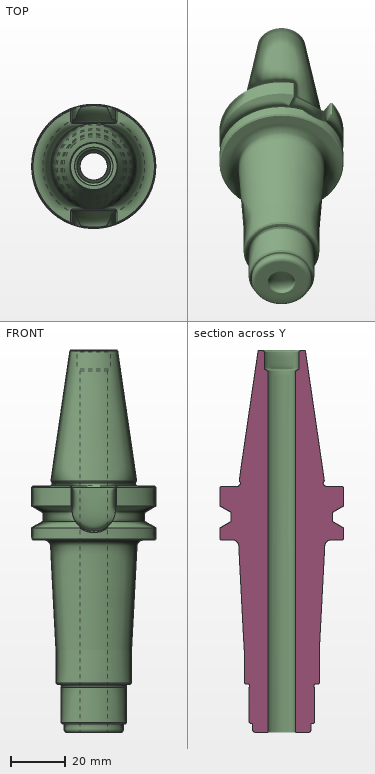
import cadquery as cq
import math


gauge_radius = 31.75 / 2
taper_ratio = 7 / 24
shank_top = 48.4
shank_chamfer = 0.4
shank_top_radius = gauge_radius - shank_top * taper_ratio / 2
shank_chamfer_radius = shank_top_radius + shank_chamfer * taper_ratio / 2

neck_radius = 15.4
neck_top = -0.75
neck_fillet = 1.2

flange_radius = 46 / 2
flange_top = -2.0
flange_bottom = -22.0
flange_chamfer = 0.5
groove_center = -13.4
groove_floor_radius = 37.7 / 2
groove_floor_width = 3.3
groove_flank_angle = 30
groove_fillet = 0.6
groove_flank_height = (flange_radius - groove_floor_radius) * math.tan(math.radians(groove_flank_angle))
groove_floor_top = groove_center + groove_floor_width / 2
groove_floor_bottom = groove_center - groove_floor_width / 2
groove_top = groove_floor_top + groove_flank_height
groove_bottom = groove_floor_bottom - groove_flank_height

slot_width = 16.1
slot_floor_offset = 16.3
slot_bottom = -18.7
slot_floor_fillet = 0.5
slot_edge_chamfer = 0.5

body_radius = 28 / 2
body_cone_bottom = -62.8
body_bottom = -75.4
body_chamfer = 0.5
body_cone_angle = 3
body_fillet = 2.2

nose_radius = 24.35 / 2
nose_bottom = -90.0
nose_groove_radius = 24 / 2
nose_groove_bottom = -76.5
nose_groove_height = 0.4
nose_chamfer = 0.5
pilot_radius = 22 / 2
part_bottom = -93.3
pilot_fillet = 1.3

bore_radius = 10.11 / 2
counterbore_radius = 12.5 / 2
counterbore_depth = 7.0
mouth_radius = 14.2 / 2
mouth_depth = 0.8
seat_depth = 0.7

tolerance = 0.01


def groove_upper_corner(body):
    """The circle where the V-groove floor meets its upper flank."""
    circles = body.edges("%CIRCLE").vals()
    return [
        circle
        for circle in circles
        if abs(circle.radius() - groove_floor_radius) < tolerance
        and abs(circle.Center().z - groove_floor_top) < tolerance
    ]


def outer_body():
    """Revolve the outside profile, from the shank end down to the pilot."""
    diagonal = math.sqrt(0.5)
    cone_angle = math.radians(body_cone_angle)
    arc_end = flange_bottom - body_fillet * (1 + math.sin(cone_angle))
    cone_top_radius = body_radius + (arc_end - body_cone_bottom) * math.tan(cone_angle)
    arc_center_radius = cone_top_radius + body_fillet * math.cos(cone_angle)
    arc_center_height = flange_bottom - body_fillet
    arc_middle = (
        arc_center_radius - body_fillet * diagonal,
        arc_center_height + body_fillet * diagonal,
    )
    profile = (
        cq.Workplane("XZ")
        .moveTo(0, shank_top)
        .lineTo(shank_top_radius - shank_chamfer / 2, shank_top)
        .lineTo(shank_chamfer_radius, shank_top - shank_chamfer)
        .lineTo(gauge_radius, 0)
        .lineTo(neck_radius, neck_top)
        .lineTo(neck_radius, flange_top + neck_fillet)
        .threePointArc(
            (
                neck_radius + neck_fillet * (1 - diagonal),
                flange_top + neck_fillet * (1 - diagonal),
            ),
            (neck_radius + neck_fillet, flange_top),
        )
        .lineTo(flange_radius - flange_chamfer, flange_top)
        .lineTo(flange_radius, flange_top - flange_chamfer)
        .lineTo(flange_radius, groove_top)
        .lineTo(groove_floor_radius, groove_floor_top)
        .lineTo(groove_floor_radius, groove_floor_bottom)
        .lineTo(flange_radius, groove_bottom)
        .lineTo(flange_radius, flange_bottom + flange_chamfer)
        .lineTo(flange_radius - flange_chamfer, flange_bottom)
        .lineTo(arc_center_radius, flange_bottom)
        .threePointArc(arc_middle, (cone_top_radius, arc_end))
        .lineTo(body_radius, body_cone_bottom)
        .lineTo(body_radius, body_bottom + body_chamfer)
        .lineTo(body_radius - body_chamfer, body_bottom)
        .lineTo(nose_radius, body_bottom)
        .lineTo(nose_groove_radius, nose_groove_bottom + nose_groove_height)
        .lineTo(nose_radius, nose_groove_bottom)
        .lineTo(nose_radius, nose_bottom + nose_chamfer)
        .lineTo(nose_radius - nose_chamfer, nose_bottom)
        .lineTo(pilot_radius, nose_bottom)
        .lineTo(pilot_radius, part_bottom + pilot_fillet)
        .threePointArc(
            (
                pilot_radius - pilot_fillet * (1 - diagonal),
                part_bottom + pilot_fillet * (1 - diagonal),
            ),
            (pilot_radius - pilot_fillet, part_bottom),
        )
        .lineTo(0, part_bottom)
        .close()
    )
    body = profile.revolve(360, (0, 0, 0), (0, 1, 0))
    return body.newObject(groove_upper_corner(body)).fillet(groove_fillet)


def bore():
    """Through bore, with a conical seat, a counterbore and a flared mouth."""
    seat_top = shank_top - counterbore_depth
    return (
        cq.Workplane("XZ")
        .moveTo(0, shank_top)
        .lineTo(mouth_radius, shank_top)
        .lineTo(counterbore_radius, shank_top - mouth_depth)
        .lineTo(counterbore_radius, seat_top)
        .lineTo(bore_radius, seat_top - seat_depth)
        .lineTo(bore_radius, part_bottom)
        .lineTo(0, part_bottom)
        .close()
        .revolve(360, (0, 0, 0), (0, 1, 0))
    )


def drive_slot():
    """Round-bottomed slot cutter on the -Y side, its floor corner filleted."""
    half_width = slot_width / 2
    arc_height = slot_bottom + half_width
    cutter_top = neck_top
    return (
        cq.Workplane("XZ", origin=(0, -slot_floor_offset, 0))
        .moveTo(-half_width, cutter_top)
        .lineTo(-half_width, arc_height)
        .threePointArc((0, slot_bottom), (half_width, arc_height))
        .lineTo(half_width, cutter_top)
        .close()
        .extrude(flange_radius)
        .faces(">Y")
        .edges("not >Z")
        .fillet(slot_floor_fillet)
    )


def is_slot_edge(edge):
    """True for the slot edges on the flange top, its rim and its two outer bands."""
    middle = edge.positionAt(0.5)
    beyond_floor = abs(middle.y) > slot_floor_offset + slot_floor_fillet + tolerance
    on_side_wall = abs(abs(middle.x) - slot_width / 2) < tolerance and middle.z > groove_top
    on_slot_bottom = abs(middle.x) < tolerance and abs(middle.z - slot_bottom) < tolerance
    return beyond_floor and (on_side_wall or on_slot_bottom)


part = outer_body().cut(bore())
for angle in (0, 180):
    part = part.cut(drive_slot().rotate((0, 0, 0), (0, 0, 1), angle))

slot_edges = [edge for edge in part.edges().vals() if is_slot_edge(edge)]
result = part.newObject(slot_edges).chamfer(slot_edge_chamfer)